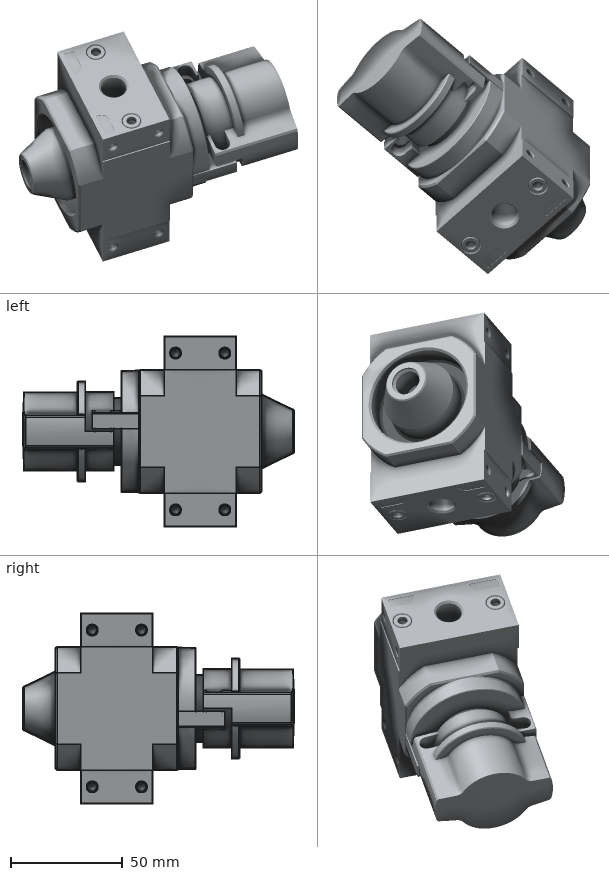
import cadquery as cq
import math


HOUSING_SIDE = 55.0
HALF_SIDE = HOUSING_SIDE / 2
CORNER_RADIUS = 31.75
END_CHAMFER = 0.8
MIDDLE_WIDTH = 32.0

RECESS_DIAMETER = 46.0
RECESS_DEPTH = 11.3
RECESS_MOUTH_CHAMFER = 1.0
RECESS_FLOOR_CHAMFER = 0.9

NOSE_RADIUS = 16.7
NOSE_BASE_CHAMFER = 1.1
NOSE_TIP_Y = -42.0
CONE_START_Y = -27.3
CONE_END_RADIUS = 9.8
NOSE_TIP_CHAMFER = 0.6

PORT_DIAMETER = 11.45
PORT_MOUTH_DIAMETER = 13.3
PORT_CHAMFER = (PORT_MOUTH_DIAMETER - PORT_DIAMETER) / 2
NOSE_PORT_MOUTH_DEPTH = 1.1
NOSE_PORT_DEPTH = 15.0

PLATE_THICKNESS = 15.0
PLATE_LEFT_X = -28.0
PLATE_RIGHT_X = PLATE_LEFT_X + HOUSING_SIDE
PLATE_TOP_Z = HALF_SIDE + PLATE_THICKNESS

SIDE_HOLE_DIAMETER = 4.13
SIDE_HOLE_MOUTH_DIAMETER = 5.0
SIDE_HOLE_DEPTH = 10.0
SIDE_HOLE_Y = 11.0
SIDE_HOLE_Z = HALF_SIDE + PLATE_THICKNESS / 2

LABEL_INNER_X = 12.2
LABEL_EDGE_GAP = 2.35
LABEL_SLANT = 2.7
LABEL_BACK_Y = -9.1
LABEL_FRONT_Y = -13.8
LABEL_CORNER_RADIUS = 0.8
LABEL_DEPTH = 0.2

SCREW_X = 21.5
HEAD_DIAMETER = 8.0
HEAD_HEIGHT = 5.0
HEAD_CHAMFER = 0.25
SOCKET_DIAMETER = 4.6
SOCKET_DEPTH = 2.5
SHANK_DIAMETER = 5.0
SHANK_END_Z = HALF_SIDE - 10.0
COUNTERBORE_DIAMETER = 8.5
COUNTERBORE_CHAMFER = 0.3

DRILL_POINT_ANGLE = 118.0

CAP_BACK_Y = 35.3
CAP_FRONT_RADIUS = 27.3
CAP_BACK_RADIUS = 27.1
CAP_BACK_CHAMFER = 0.3
NECK_DIAMETER = 30.0

ARM_INNER_X = 18.0
ARM_LIP_X = 20.5
ARM_LIP_RADIUS = 4.0
ARM_BOTTOM_Z = 1.3
ARM_TOP_Z = 8.3
ARM_END_Y = 48.2
ARM_CHAMFER = 0.45

SLEEVE_RADIUS = 17.65
SLEEVE_FRONT_Y = 38.5
SLEEVE_BACK_Y = 51.3
FLANGE_RADIUS = 22.35
FLANGE_BACK_Y = 54.8
FLANGE_CHAMFER = 0.4
GRIP_RADIUS = 17.55
KNOB_BACK_Y = 79.28
DOME_RADIUS = 250.0

WING_OUTER_RADIUS = 27.25
WING_EDGE_X = 25.7
WING_EDGE_HALF_THICKNESS = 7.2
WING_TAPER_ANGLE = 5.5
WING_CHAMFER_X = 26.5
WING_FILLET = 4.0

SLOT_WIDTH = 7.0
SLOT_Y = 43.5
ARM_SLOT_END_X = 26.2
WING_SLOT_END_X = 25.2


def prism_along_y(outline, start_y, end_y):
    """Extrude a closed outline, drawn on the XZ plane through the origin, from start_y to end_y."""
    return outline.extrude(start_y - end_y).translate((0, start_y, 0))


def turned_about_y(profile):
    """Revolve (radius, y) points that start and end on the Y axis."""
    return cq.Workplane("XY").polyline(profile).close().revolve(360, (0, 0, 0), (0, 1, 0))


def cylinder_along_y(radius, start_y, end_y):
    return cq.Workplane("XZ", origin=(0, start_y, 0)).circle(radius).extrude(start_y - end_y)


def vertical_cylinder(diameter, start_z, end_z, x=0.0):
    return cq.Workplane("XY", origin=(x, 0, start_z)).circle(diameter / 2).extrude(end_z - start_z)


def drill_point_height(diameter):
    return diameter / 2 / math.tan(math.radians(DRILL_POINT_ANGLE / 2))


def half_turn_about_y(body):
    return body.rotate((0, 0, 0), (0, 1, 0), 180)


def open_slot(end_x):
    """Round-ended slot along X from the main axis out to -end_x, cut through in Z."""
    round_centre_x = SLOT_WIDTH / 2 - end_x
    slot = cq.Workplane("XY", origin=(0, SLOT_Y, 0))
    slot = slot.moveTo(round_centre_x / 2, 0).rect(-round_centre_x, SLOT_WIDTH)
    slot = slot.extrude(HALF_SIDE, both=True)
    end = cq.Workplane("XY", origin=(round_centre_x, SLOT_Y, 0)).circle(SLOT_WIDTH / 2)
    return slot.union(end.extrude(HALF_SIDE, both=True))


def make_housing():
    block = cq.Workplane("XY").box(HOUSING_SIDE, HOUSING_SIDE, HOUSING_SIDE)
    middle = cq.Workplane("XY").box(HOUSING_SIDE, MIDDLE_WIDTH, HOUSING_SIDE)
    body = block.intersect(cylinder_along_y(CORNER_RADIUS, -HALF_SIDE, HALF_SIDE))
    body = body.faces("<Y or >Y").chamfer(END_CHAMFER).union(middle)

    recess_radius = RECESS_DIAMETER / 2
    floor_y = RECESS_DEPTH - HALF_SIDE
    recess = turned_about_y([
        (0, -HALF_SIDE),
        (recess_radius + RECESS_MOUTH_CHAMFER, -HALF_SIDE),
        (recess_radius, -HALF_SIDE + RECESS_MOUTH_CHAMFER),
        (recess_radius, floor_y - RECESS_FLOOR_CHAMFER),
        (recess_radius - RECESS_FLOOR_CHAMFER, floor_y),
        (0, floor_y),
    ])
    nose = turned_about_y([
        (0, floor_y),
        (NOSE_RADIUS + NOSE_BASE_CHAMFER, floor_y),
        (NOSE_RADIUS, floor_y - NOSE_BASE_CHAMFER),
        (NOSE_RADIUS, CONE_START_Y),
        (CONE_END_RADIUS, NOSE_TIP_Y + NOSE_TIP_CHAMFER),
        (CONE_END_RADIUS - NOSE_TIP_CHAMFER, NOSE_TIP_Y),
        (0, NOSE_TIP_Y),
    ])
    nose_port = turned_about_y([
        (0, NOSE_TIP_Y),
        (PORT_MOUTH_DIAMETER / 2, NOSE_TIP_Y),
        (PORT_MOUTH_DIAMETER / 2, NOSE_TIP_Y + NOSE_PORT_MOUTH_DEPTH),
        (PORT_DIAMETER / 2, NOSE_TIP_Y + NOSE_PORT_MOUTH_DEPTH + PORT_CHAMFER),
        (PORT_DIAMETER / 2, NOSE_TIP_Y + NOSE_PORT_DEPTH),
        (0, NOSE_TIP_Y + NOSE_PORT_DEPTH),
    ])
    body = body.cut(recess).union(nose).cut(nose_port)

    body = body.cut(vertical_cylinder(PORT_DIAMETER, -HALF_SIDE, HALF_SIDE))
    for x in (-SCREW_X, SCREW_X):
        body = body.cut(vertical_cylinder(SHANK_DIAMETER, SHANK_END_Z, HALF_SIDE, x))
        body = body.cut(vertical_cylinder(SHANK_DIAMETER, -HALF_SIDE, -SHANK_END_Z, x))
    return body


def side_hole(depth_direction, face_x, y):
    """Blind hole with a drill point, running along X from a plate's side face."""
    radius = SIDE_HOLE_DIAMETER / 2
    mouth_radius = SIDE_HOLE_MOUTH_DIAMETER / 2
    profile = [
        (0, 0),
        (0, mouth_radius),
        (mouth_radius - radius, radius),
        (SIDE_HOLE_DEPTH, radius),
        (SIDE_HOLE_DEPTH + drill_point_height(SIDE_HOLE_DIAMETER), 0),
    ]
    outline = [(face_x + depth_direction * depth, offset) for depth, offset in profile]
    plane = cq.Workplane("XY", origin=(0, y, SIDE_HOLE_Z))
    return plane.polyline(outline).close().revolve(360, (0, 0, 0), (1, 0, 0))


def label_recess(inner_x, outer_x):
    """Shallow four-sided label recess whose inner end is slanted."""
    slant = math.copysign(LABEL_SLANT, outer_x)
    outline = [
        (inner_x, LABEL_FRONT_Y),
        (outer_x, LABEL_FRONT_Y),
        (outer_x, LABEL_BACK_Y),
        (inner_x + slant, LABEL_BACK_Y),
    ]
    plane = cq.Workplane("XY", origin=(0, 0, PLATE_TOP_Z - LABEL_DEPTH))
    return plane.polyline(outline).close().extrude(LABEL_DEPTH).edges("|Z").fillet(LABEL_CORNER_RADIUS)


def chamfered_mouth(diameter, chamfer, x=0.0):
    """Cone that breaks the top edge of a vertical hole in the plate."""
    plane = cq.Workplane("XY", origin=(x, 0, PLATE_TOP_Z))
    return plane.circle(diameter / 2 + chamfer).extrude(-chamfer, taper=45)


def make_plate():
    plate = cq.Workplane("XY").box(HOUSING_SIDE, MIDDLE_WIDTH, PLATE_THICKNESS)
    plate = plate.translate(((PLATE_LEFT_X + PLATE_RIGHT_X) / 2, 0, SIDE_HOLE_Z))

    plate = plate.cut(vertical_cylinder(PORT_DIAMETER, HALF_SIDE, PLATE_TOP_Z))
    plate = plate.cut(chamfered_mouth(PORT_DIAMETER, PORT_CHAMFER))

    for x in (-SCREW_X, SCREW_X):
        plate = plate.cut(vertical_cylinder(SHANK_DIAMETER, HALF_SIDE, PLATE_TOP_Z, x))
        plate = plate.cut(vertical_cylinder(COUNTERBORE_DIAMETER, PLATE_TOP_Z - HEAD_HEIGHT, PLATE_TOP_Z, x))
        plate = plate.cut(chamfered_mouth(COUNTERBORE_DIAMETER, COUNTERBORE_CHAMFER, x))

    for y in (-SIDE_HOLE_Y, SIDE_HOLE_Y):
        plate = plate.cut(side_hole(1, PLATE_LEFT_X, y))
        plate = plate.cut(side_hole(-1, PLATE_RIGHT_X, y))

    plate = plate.cut(label_recess(-LABEL_INNER_X, PLATE_LEFT_X + LABEL_EDGE_GAP))
    plate = plate.cut(label_recess(LABEL_INNER_X, PLATE_RIGHT_X - LABEL_EDGE_GAP))
    return plate


def make_screw(x):
    socket_floor_z = PLATE_TOP_Z - SOCKET_DEPTH
    head = vertical_cylinder(HEAD_DIAMETER, PLATE_TOP_Z - HEAD_HEIGHT, PLATE_TOP_Z)
    head = head.faces(">Z").chamfer(HEAD_CHAMFER)
    shank = vertical_cylinder(SHANK_DIAMETER, SHANK_END_Z, PLATE_TOP_Z - HEAD_HEIGHT)
    socket = cq.Workplane("XZ").polyline([
        (0, PLATE_TOP_Z),
        (SOCKET_DIAMETER / 2, PLATE_TOP_Z),
        (SOCKET_DIAMETER / 2, socket_floor_z),
        (0, socket_floor_z - drill_point_height(SOCKET_DIAMETER)),
    ]).close().revolve(360, (0, 0, 0), (0, 1, 0))
    return head.union(shank).cut(socket).translate((x, 0, 0))


def make_arm():
    """Left arm of the cap: flat bar with a curved lip along its inner edge and a slot."""
    lip_centre_z = ARM_TOP_Z + ARM_LIP_RADIUS
    lip_width = ARM_LIP_X - ARM_INNER_X
    lip_top_z = lip_centre_z - math.sqrt(ARM_LIP_RADIUS**2 - lip_width**2)
    lip_half_angle = math.asin(lip_width / ARM_LIP_RADIUS) / 2
    lip_middle = (
        -ARM_LIP_X + ARM_LIP_RADIUS * math.sin(lip_half_angle),
        lip_centre_z - ARM_LIP_RADIUS * math.cos(lip_half_angle),
    )
    outline = (
        cq.Workplane("XZ")
        .moveTo(-HALF_SIDE, ARM_BOTTOM_Z)
        .lineTo(-HALF_SIDE, ARM_TOP_Z - ARM_CHAMFER)
        .lineTo(-HALF_SIDE + ARM_CHAMFER, ARM_TOP_Z)
        .lineTo(-ARM_LIP_X, ARM_TOP_Z)
        .threePointArc(lip_middle, (-ARM_INNER_X, lip_top_z))
        .lineTo(-ARM_INNER_X, ARM_BOTTOM_Z)
        .close()
    )
    return prism_along_y(outline, HALF_SIDE, ARM_END_Y).cut(open_slot(ARM_SLOT_END_X))


def make_cap():
    disc = turned_about_y([
        (0, HALF_SIDE),
        (CAP_FRONT_RADIUS, HALF_SIDE),
        (CAP_BACK_RADIUS, CAP_BACK_Y - CAP_BACK_CHAMFER),
        (CAP_BACK_RADIUS - CAP_BACK_CHAMFER, CAP_BACK_Y),
        (0, CAP_BACK_Y),
    ])
    arm = make_arm()
    cap = disc.union(arm).union(half_turn_about_y(arm))
    return cap.cut(cylinder_along_y(NECK_DIAMETER / 2, HALF_SIDE, CAP_BACK_Y))


def wing_outline(with_upper_half):
    """Left wing section: faces that thicken towards the axis and a round, chamfered outer edge."""
    taper = math.tan(math.radians(WING_TAPER_ANGLE))
    axis_z = WING_EDGE_HALF_THICKNESS + WING_EDGE_X * taper
    chamfer_z = math.sqrt(WING_OUTER_RADIUS**2 - WING_CHAMFER_X**2)
    outline = (
        cq.Workplane("XZ")
        .moveTo(0, -axis_z)
        .lineTo(-WING_EDGE_X, -WING_EDGE_HALF_THICKNESS)
        .lineTo(-WING_CHAMFER_X, -chamfer_z)
    )
    if not with_upper_half:
        middle_angle = math.asin(chamfer_z / WING_OUTER_RADIUS) / 2
        middle = (-WING_OUTER_RADIUS * math.cos(middle_angle), -WING_OUTER_RADIUS * math.sin(middle_angle))
        return outline.threePointArc(middle, (-WING_OUTER_RADIUS, 0)).lineTo(0, 0).close()
    return (
        outline.threePointArc((-WING_OUTER_RADIUS, 0), (-WING_CHAMFER_X, chamfer_z))
        .lineTo(-WING_EDGE_X, WING_EDGE_HALF_THICKNESS)
        .lineTo(0, axis_z)
        .close()
    )


def make_knob():
    grip = cylinder_along_y(GRIP_RADIUS, SLEEVE_BACK_Y, KNOB_BACK_Y)
    full_wing = prism_along_y(wing_outline(True), SLEEVE_BACK_Y, KNOB_BACK_Y)
    grip = grip.union(full_wing).union(half_turn_about_y(full_wing))
    root_edges = cq.selectors.BoxSelector(
        (-GRIP_RADIUS, SLEEVE_BACK_Y, -GRIP_RADIUS), (GRIP_RADIUS, KNOB_BACK_Y, GRIP_RADIUS)
    )
    grip = grip.edges("|Y").edges(root_edges).fillet(WING_FILLET)
    dome = cq.Workplane("XY", origin=(0, KNOB_BACK_Y - DOME_RADIUS, 0)).sphere(DOME_RADIUS)
    grip = grip.intersect(dome)

    half_wing = prism_along_y(wing_outline(False), SLEEVE_FRONT_Y, SLEEVE_BACK_Y)
    half_wing = half_wing.cut(open_slot(WING_SLOT_END_X))
    sleeve = cylinder_along_y(SLEEVE_RADIUS, SLEEVE_FRONT_Y, SLEEVE_BACK_Y)
    flange = cylinder_along_y(FLANGE_RADIUS, SLEEVE_BACK_Y, FLANGE_BACK_Y).faces(">Y").chamfer(FLANGE_CHAMFER)
    neck = cylinder_along_y(NECK_DIAMETER / 2, HALF_SIDE, SLEEVE_FRONT_Y)

    knob = grip
    for piece in (flange, sleeve, neck, half_wing, half_turn_about_y(half_wing)):
        knob = knob.union(piece)
    return knob


housing = make_housing()
cap = make_cap()
knob = make_knob()

top_plate = make_plate()
top_screws = [make_screw(x) for x in (-SCREW_X, SCREW_X)]
bottom_plate = top_plate.mirror("XY")
bottom_screws = [screw.mirror("XY") for screw in top_screws]

bodies = [housing, cap, knob, top_plate, bottom_plate, *top_screws, *bottom_screws]
result = cq.Compound.makeCompound([body.solids().val() for body in bodies])